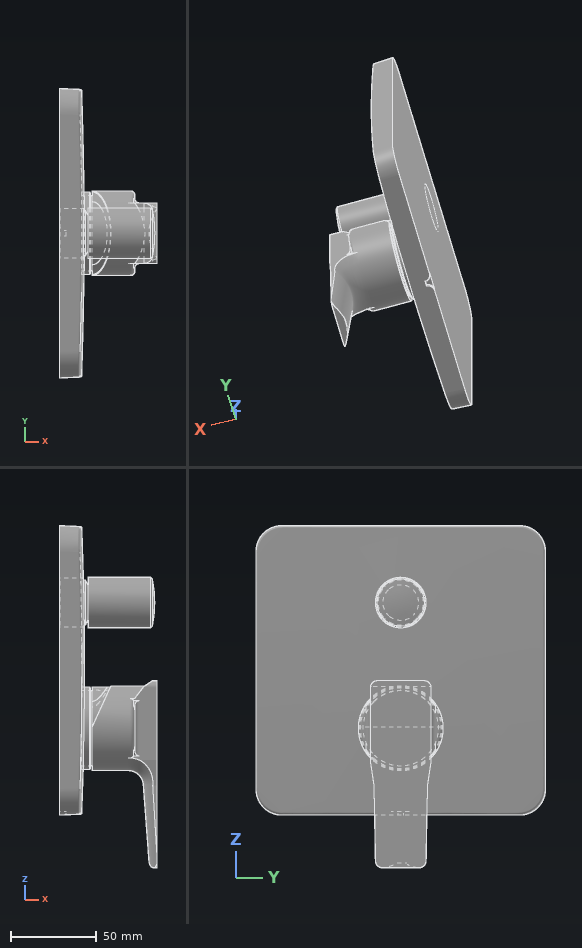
import cadquery as cq
import math

total_depth = 57.5
total_height = 201.0
margin = 2.0

plate_side = 170.0
plate_corner_radius = 15.3
plate_draft = 2.5
plate_apex = 14.9
dome_radius = 2211.0
plate_edge_round = 1.0
pry_slot_width = 10.7
pry_slot_height = 2.2
pry_slot_depth = 3.8

knob_z = 39.8
knob_radius = 14.9
knob_back = 16.9
knob_side_end = 53.7
knob_front = 56.0
knob_rim = 1.0
collar_plug_radius = 14.5
collar_skin = 0.5
collar_boss_radius = 13.3
collar_boss_end = 15.3
collar_neck_radius = 10.5

lever_z = -34.0
ring_radius = 24.3
ring_seat = 13.0
ring_front = 18.3
ring_chamfer = 0.6
cartridge_radius = 22.1

hub_radius = 25.0
hub_back = 19.3
hub_step = 44.5
hub_edge_round = 2.6
slant_start = 0.8
slant_end = 30.4

wedge_radius = ring_radius
indicator_length = 8.8
indicator_half_width = 18.5
indicator_thickness = 2.0

head_half_width = 17.9
head_step_round = 2.5
cove_inset = 0.8
head_bottom = -18.9
lip_top = 28.0
lip_corner_radius = 4.2
lip_back = 54.7
lip_foot = (49.6, 24.5)
lip_root = (44.5, 17.7)
bend_start = 40.6
bend_radius = 8.6
handle_lean = 4.2
handle_root_z = -33.8
handle_root_half_width = 15.7
handle_tip_half_width = 14.9
handle_corner_radius = 4.5
handle_tip_round = 3.0

tip_z = plate_side / 2 - total_height - lever_z


def cylinder_x(radius, start, end, z):
    """Cylinder along X at height z."""
    return cq.Workplane("YZ", origin=(start, 0, z)).circle(radius).extrude(end - start)


def make_plate_blank():
    blank = (
        cq.Workplane("YZ")
        .rect(plate_side, plate_side)
        .extrude(plate_apex + margin, taper=plate_draft)
    )
    blank = blank.edges("not(#X or |Y or |Z)").fillet(plate_corner_radius)
    dome = cq.Workplane("XY", origin=(plate_apex - dome_radius, 0, 0)).sphere(dome_radius)
    return blank.intersect(dome).faces(">X").edges().fillet(plate_edge_round)


def make_pry_slot():
    """Shallow slot in the back of the lower edge, rounded at both ends."""
    half = pry_slot_width / 2
    return (
        cq.Workplane("XY", origin=(0, 0, -plate_side / 2))
        .moveTo(0, -half)
        .radiusArc((pry_slot_depth, -half + pry_slot_depth), pry_slot_depth)
        .lineTo(pry_slot_depth, half - pry_slot_depth)
        .radiusArc((0, half), pry_slot_depth)
        .close()
        .extrude(pry_slot_height)
    )


plate_blank = make_plate_blank()
knob_bore = cylinder_x(collar_plug_radius, collar_skin, plate_apex + margin, knob_z)
ring_recess = cylinder_x(ring_radius, ring_seat, plate_apex + margin, lever_z)
plate = plate_blank.cut(knob_bore).cut(ring_recess).cut(make_pry_slot())


def make_collar():
    """Plug filling the plate bore, with a tapered boss that carries the knob."""
    plug = plate_blank.intersect(knob_bore)
    boss = (
        cq.Workplane("XY", origin=(0, 0, knob_z))
        .moveTo(collar_skin, 0)
        .lineTo(collar_skin, collar_boss_radius)
        .lineTo(collar_boss_end, collar_boss_radius)
        .lineTo(knob_back, collar_neck_radius)
        .lineTo(knob_back, 0)
        .close()
        .revolve(360, (0, 0, 0), (1, 0, 0))
    )
    return plug.union(boss)


def make_knob():
    rim_x = knob_side_end + knob_rim
    rim_radius = knob_radius - knob_rim
    dome_rise = knob_front - rim_x
    end_radius = (rim_radius**2 + dome_rise**2) / (2 * dome_rise)
    return (
        cq.Workplane("XY", origin=(0, 0, knob_z))
        .moveTo(knob_back, 0)
        .lineTo(knob_back, knob_radius)
        .lineTo(knob_side_end, knob_radius)
        .lineTo(rim_x, rim_radius)
        .radiusArc((knob_front, 0), end_radius)
        .close()
        .revolve(360, (0, 0, 0), (1, 0, 0))
    )


collar = make_collar()
knob = make_knob()


cartridge = cylinder_x(cartridge_radius, ring_seat, hub_back, lever_z)
ring = (
    cylinder_x(ring_radius, ring_seat, ring_front, lever_z)
    .faces(">X").edges().chamfer(ring_chamfer)
    .cut(cartridge)
)


def make_slant_prism():
    """Everything behind the slanted plane, above the start of the cut."""
    slope = (slant_end - hub_back) / (hub_radius - slant_start)
    prism_top = hub_radius + margin
    top_x = hub_back + slope * (prism_top - slant_start)
    return (
        cq.Workplane("XZ", origin=(0, 0, lever_z))
        .moveTo(hub_back, slant_start)
        .lineTo(top_x, prism_top)
        .lineTo(hub_back, prism_top)
        .close()
        .extrude(hub_radius + margin, both=True)
    )


def make_indicator():
    ellipse = (
        cq.Workplane("XY", origin=(hub_back, 0, lever_z))
        .ellipse(indicator_length, indicator_half_width)
        .extrude(wedge_radius + margin)
    )
    core = cylinder_x(wedge_radius - indicator_thickness, hub_back, slant_end, lever_z)
    return wedge_blank.intersect(ellipse).cut(core)


slant_prism = make_slant_prism()
wedge_blank = slant_prism.intersect(cylinder_x(wedge_radius, hub_back, slant_end, lever_z))
indicator = make_indicator()
wedge = wedge_blank.cut(indicator)


def make_hub():
    hub = cylinder_x(hub_radius, hub_back, hub_step, lever_z)
    return hub.faces(">X").edges().fillet(hub_edge_round)


def make_head():
    """Flat-sided continuation of the hub up to the lever face."""
    sides = (
        cq.Workplane("XY", origin=(total_depth / 2, 0, lever_z))
        .box(total_depth, 2 * head_half_width, 4 * hub_radius)
    )
    return cylinder_x(hub_radius, bend_start, total_depth, lever_z).intersect(sides)


def make_coves():
    """Concave rounds between the hub shoulder and both flat sides of the head."""
    cove_start = hub_step - hub_edge_round / 2
    cove_end = hub_step + head_step_round
    cove_top = head_half_width + head_step_round
    cove = (
        cq.Workplane("XY", origin=(0, 0, lever_z))
        .moveTo(cove_start, head_half_width - margin)
        .lineTo(cove_start, cove_top)
        .lineTo(hub_step, cove_top)
        .radiusArc((cove_end, head_half_width), -head_step_round)
        .lineTo(cove_end, head_half_width - margin)
        .close()
        .extrude(hub_radius, both=True)
        .intersect(cylinder_x(hub_radius - cove_inset, cove_start, cove_end, lever_z))
    )
    return cove.union(cove.mirror("XZ"))


def make_lip():
    """Flared upper end of the lever face, with rounded corners."""
    flare = (
        cq.Workplane("XZ", origin=(0, 0, lever_z))
        .moveTo(lip_root[0], 0)
        .lineTo(*lip_root)
        .lineTo(*lip_foot)
        .lineTo(lip_back, lip_top)
        .lineTo(total_depth, lip_top)
        .lineTo(total_depth, 0)
        .close()
        .extrude(head_half_width, both=True)
    )
    corners = (
        cq.Workplane("YZ", origin=(0, 0, lever_z))
        .rect(2 * head_half_width, 2 * lip_top)
        .extrude(total_depth)
        .edges("|X")
        .fillet(lip_corner_radius)
    )
    return flare.intersect(corners)


def make_tip_round():
    """Waste outside the rounded back edge of the handle's tip."""
    lean = math.radians(handle_lean)
    pivot_z = -hub_radius - bend_radius
    tip_back = bend_start + (bend_radius + (pivot_z - tip_z) * math.sin(lean)) / math.cos(lean)
    return (
        cq.Workplane("XZ", origin=(0, 0, lever_z))
        .moveTo(0, tip_z + handle_tip_round)
        .lineTo(tip_back, tip_z + handle_tip_round)
        .radiusArc((tip_back + handle_tip_round, tip_z), -handle_tip_round)
        .lineTo(0, tip_z)
        .close()
        .extrude(head_half_width, both=True)
    )


def make_handle():
    """The hub's round underside bent downward, trimmed to the tapered face outline."""
    face_outline = (
        cq.Workplane("YZ", origin=(0, 0, lever_z))
        .moveTo(-head_half_width, 0)
        .lineTo(-head_half_width, head_bottom)
        .lineTo(-handle_root_half_width, handle_root_z)
        .lineTo(-handle_tip_half_width, tip_z)
        .lineTo(handle_tip_half_width, tip_z)
        .lineTo(handle_root_half_width, handle_root_z)
        .lineTo(head_half_width, head_bottom)
        .lineTo(head_half_width, 0)
        .close()
        .extrude(total_depth)
        .edges("|X and <Z")
        .fillet(handle_corner_radius)
    )
    pivot_drop = hub_radius + bend_radius
    bend = (
        cq.Workplane("YZ", origin=(bend_start, 0, lever_z))
        .circle(hub_radius)
        .revolve(90 - handle_lean, (0, -pivot_drop, 0), (1, -pivot_drop, 0))
    )
    straight = (
        cq.Workplane("XY")
        .center(pivot_drop, 0)
        .circle(hub_radius)
        .extrude(-total_height)
        .rotate((0, 0, 0), (0, 1, 0), -handle_lean)
        .translate((bend_start, 0, lever_z - pivot_drop))
    )
    return bend.union(straight).intersect(face_outline).cut(make_tip_round())


lever = make_hub().union(make_head()).union(make_coves()).union(make_handle())
lever = lever.union(make_lip()).cut(slant_prism)

result = cq.Compound.makeCompound([
    plate.val(), collar.val(), knob.val(), ring.val(),
    cartridge.val(), wedge.val(), indicator.val(), lever.val(),
])